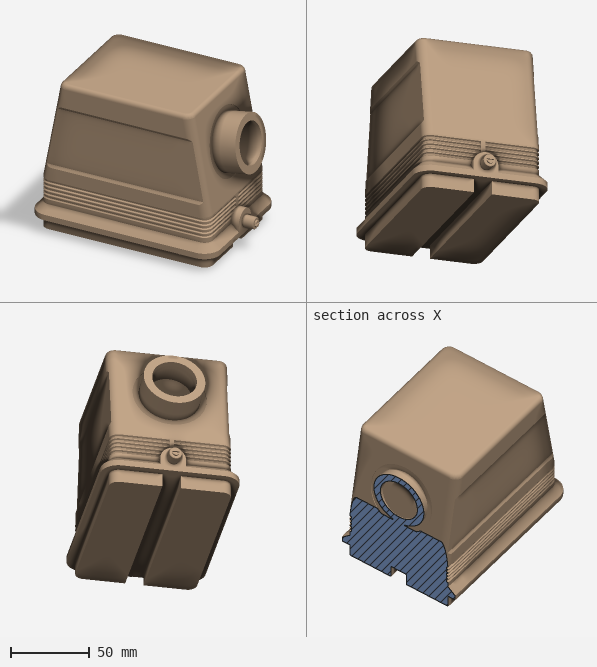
import cadquery as cq
import math

overall_height = 107.0
body_length = 121.0
body_width = 79.0
top_length = 95.0
taper_start_z = 36.5
body_corner_radius = 6.0
top_edge_radius = 3.0

flange_overhang = 5.5
flange_bottom_z = 9.0
flange_edge_height = 4.0
flange_bevel_height = 5.0
notch_width = 12.0

groove_count = 5
groove_bottom_z = 21.5
groove_pitch = 2.9
groove_opening = 2.3
groove_floor = 1.2
groove_depth = 1.0
groove_bridge_width = 3.0

panel_depth = 1.2
panel_bottom_z = 44.8
panel_top_z = 90.5
panel_slope_height = 2.0

pin_z = 17.6
boss_radius = 8.4
pin_radius = 4.1
pin_tip_x = 75.25
pin_nub_length = 1.25
pin_nub_radius = 2.3
pin_slot_width = 1.0
pin_end_chamfer = 0.3
pin_neck_length = 1.0
pin_neck_radius = 3.9

entry_z = 71.8
entry_outer_radius = 20.0
entry_bore_radius = 14.5
entry_length = 16.5
spot_face_radius = 24.0
spot_face_depth = 0.5

half_length = body_length / 2
half_width = body_width / 2
half_top = top_length / 2
flange_length = body_length + 2 * flange_overhang
flange_width = body_width + 2 * flange_overhang
flange_half_length = flange_length / 2
end_slope = (half_length - half_top) / (overall_height - taper_start_z)
end_angle = math.atan(end_slope)


def make_hood():
    """Straight skirt that tapers at both ends, with rounded corners and top rim."""
    outline = [
        (-half_length, 0),
        (half_length, 0),
        (half_length, taper_start_z),
        (half_top, overall_height),
        (-half_top, overall_height),
        (-half_length, taper_start_z),
    ]
    hood = cq.Workplane("XZ").polyline(outline).close().extrude(half_width, both=True)
    hood = hood.faces("<Y or >Y").edges("not |X").fillet(body_corner_radius)
    return hood.faces(">Z").edges().fillet(top_edge_radius)


def rounded_section(inset, z):
    """Horizontal outline of the body, moved inward by the inset (outward if negative)."""
    outline = cq.Sketch().rect(body_length - 2 * inset, body_width - 2 * inset)
    outline = outline.vertices().fillet(body_corner_radius - inset)
    return outline.moved(cq.Location(cq.Vector(0, 0, z)))


def make_flange():
    """Rounded rectangular flange with a sloping upper bevel running up to the body."""
    rim_z = flange_bottom_z + flange_edge_height
    edge_band = (
        cq.Workplane("XY")
        .placeSketch(rounded_section(-flange_overhang, flange_bottom_z))
        .extrude(flange_edge_height)
    )
    bevel = cq.Workplane("XY").placeSketch(
        rounded_section(-flange_overhang, rim_z),
        rounded_section(0, rim_z + flange_bevel_height),
    ).loft()
    return edge_band.union(bevel)


def make_groove(bottom_z):
    """Ring-shaped cutter for one groove with sloping flanks and a flat floor."""
    flank = (groove_opening - groove_floor) / 2
    floor_bottom_z = bottom_z + flank
    floor_top_z = floor_bottom_z + groove_floor
    top_z = bottom_z + groove_opening
    lower = cq.Workplane("XY").placeSketch(
        rounded_section(0, bottom_z), rounded_section(groove_depth, floor_bottom_z)
    ).loft()
    middle = cq.Workplane("XY").placeSketch(
        rounded_section(groove_depth, floor_bottom_z)
    ).extrude(groove_floor)
    upper = cq.Workplane("XY").placeSketch(
        rounded_section(groove_depth, floor_top_z), rounded_section(0, top_z)
    ).loft()
    base = cq.Workplane("XY").workplane(offset=bottom_z)
    ring = base.rect(flange_length, flange_width).extrude(groove_opening)
    bridge = base.rect(flange_length, groove_bridge_width).extrude(groove_opening)
    return ring.cut(lower).cut(middle).cut(upper).cut(bridge)


def make_panel_cutter(side):
    """Full-length cutter for the recessed panel on the side at +Y or -Y."""
    floor_y = side * (half_width - panel_depth)
    face_y = side * half_width
    profile = [
        (face_y, panel_bottom_z),
        (floor_y, panel_bottom_z + panel_slope_height),
        (floor_y, panel_top_z - panel_slope_height),
        (face_y, panel_top_z),
    ]
    return cq.Workplane("YZ").polyline(profile).close().extrude(half_length, both=True)


def x_cylinder(radius, start_x, end_x):
    """Cylinder along X on the pin axis."""
    base = cq.Workplane("YZ", origin=(start_x, 0, pin_z))
    return base.circle(radius).extrude(end_x - start_x)


def make_pin():
    """Boss, necked pin and slotted end nub for the +X end."""
    root_x = half_length - body_corner_radius
    neck_end_x = flange_half_length + pin_neck_length
    pin_end_x = pin_tip_x - pin_nub_length
    boss_foot_height = pin_z - flange_bottom_z
    boss = x_cylinder(boss_radius, root_x, flange_half_length)
    foot = cq.Workplane("XY").box(
        flange_half_length - root_x, 2 * boss_radius, boss_foot_height, centered=(False, True, False)
    ).translate((root_x, 0, flange_bottom_z))
    neck = x_cylinder(pin_neck_radius, root_x, neck_end_x)
    shank = x_cylinder(pin_radius, neck_end_x, pin_end_x).faces(">X").chamfer(pin_end_chamfer)
    nub = x_cylinder(pin_nub_radius, pin_end_x, pin_tip_x)
    slot = cq.Workplane("XY").box(
        pin_nub_length, 2 * pin_nub_radius, pin_slot_width, centered=(False, True, True)
    ).translate((pin_end_x, 0, pin_z))
    return boss.union(foot).union(neck).union(shank).union(nub.cut(slot))


def add_cable_entry(body):
    """Spot face and bored spout, square to the sloped +X end."""
    entry_x = half_length - end_slope * (entry_z - taper_start_z)
    plane = cq.Plane(
        origin=(entry_x, 0, entry_z),
        xDir=(-math.sin(end_angle), 0, math.cos(end_angle)),
        normal=(math.cos(end_angle), 0, math.sin(end_angle)),
    )
    spot_face = cq.Workplane(plane).circle(spot_face_radius).extrude(-spot_face_depth)
    spout = (
        cq.Workplane(plane)
        .workplane(offset=-spot_face_depth)
        .circle(entry_outer_radius)
        .extrude(entry_length + spot_face_depth)
    )
    bore = cq.Workplane(plane).circle(entry_bore_radius).extrude(entry_length)
    return body.cut(spot_face).union(spout).cut(bore)


body = make_hood()
for side in (-1, 1):
    body = body.cut(make_panel_cutter(side))
for index in range(groove_count):
    body = body.cut(make_groove(groove_bottom_z + index * groove_pitch))

body = body.union(make_flange())
pin = make_pin()
body = body.union(pin).union(pin.mirror("YZ"))
body = add_cable_entry(body)

notch = cq.Workplane("XY").box(
    body_length, notch_width, flange_bottom_z, centered=(True, True, False)
)
result = body.cut(notch)